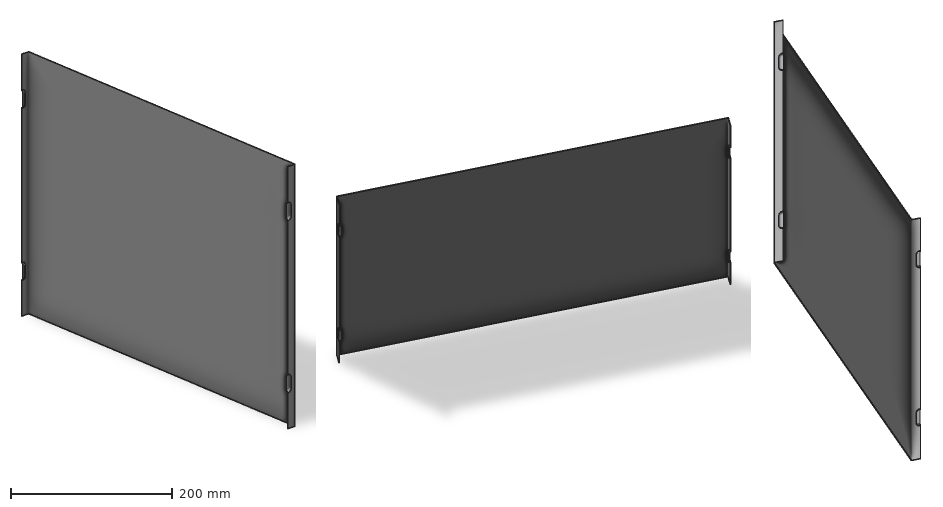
import cadquery as cq
import math

width = 500.0
depth = 12.5
height = 350.0
sheet = 1.0
bend_radius = 1.25

dimple_offset = 115.0
dimple_inset = 2.5
mouth_length = 24.0
mouth_reach = 5.5
mouth_corner = 5.0
wall_run = 2.0
floor_edge_radius = 0.5

front_y = -depth / 2
outer_x = width / 2

floor_length = mouth_length - 2 * wall_run
floor_reach = mouth_reach - wall_run
floor_corner = mouth_corner - wall_run
wall_slope = wall_run / dimple_inset
wall_growth = sheet * (math.sqrt(1 + wall_slope ** 2) - wall_slope)


def folded_sheet():
    """Channel of constant thickness with rounded folds at the back."""
    outer = cq.Workplane("XY").box(width, depth, height).edges("|Z and >Y").fillet(bend_radius)
    inner = (
        cq.Workplane("XY")
        .box(width - 2 * sheet, depth, height)
        .edges("|Z and >Y")
        .fillet(bend_radius - sheet)
        .translate((0, -sheet, 0))
    )
    return outer.cut(inner)


def edge_outline(plane, length, reach, corner):
    """Rectangle open to the free edge, with its two rear corners rounded."""
    half = length / 2
    rear_y = front_y + reach
    return (
        plane.moveTo(front_y, -half)
        .lineTo(rear_y - corner, -half)
        .radiusArc((rear_y, -half + corner), -corner)
        .lineTo(rear_y, half - corner)
        .radiusArc((rear_y - corner, half), -corner)
        .lineTo(front_y, half)
        .close()
    )


def dimple_form(start_x, growth, edge_radius):
    """Tapered plug running inward from the left flange, enlarged by growth all round."""
    mouth = edge_outline(
        cq.Workplane("YZ", origin=(start_x, 0, 0)),
        mouth_length + 2 * growth, mouth_reach + growth, mouth_corner + growth,
    )
    form = edge_outline(
        mouth.workplane(offset=dimple_inset),
        floor_length + 2 * growth, floor_reach + growth, floor_corner + growth,
    ).loft(ruled=True)
    return form.faces(">X").edges("not <Y").fillet(edge_radius)


result = folded_sheet()
cavity = dimple_form(-outer_x, 0, floor_edge_radius)
shell = dimple_form(-outer_x + sheet, wall_growth, floor_edge_radius + sheet)
for z in (-dimple_offset, dimple_offset):
    for mirrored in (False, True):
        placed_shell = shell.translate((0, 0, z))
        placed_cavity = cavity.translate((0, 0, z))
        if mirrored:
            placed_shell = placed_shell.mirror("YZ")
            placed_cavity = placed_cavity.mirror("YZ")
        result = result.union(placed_shell).cut(placed_cavity)